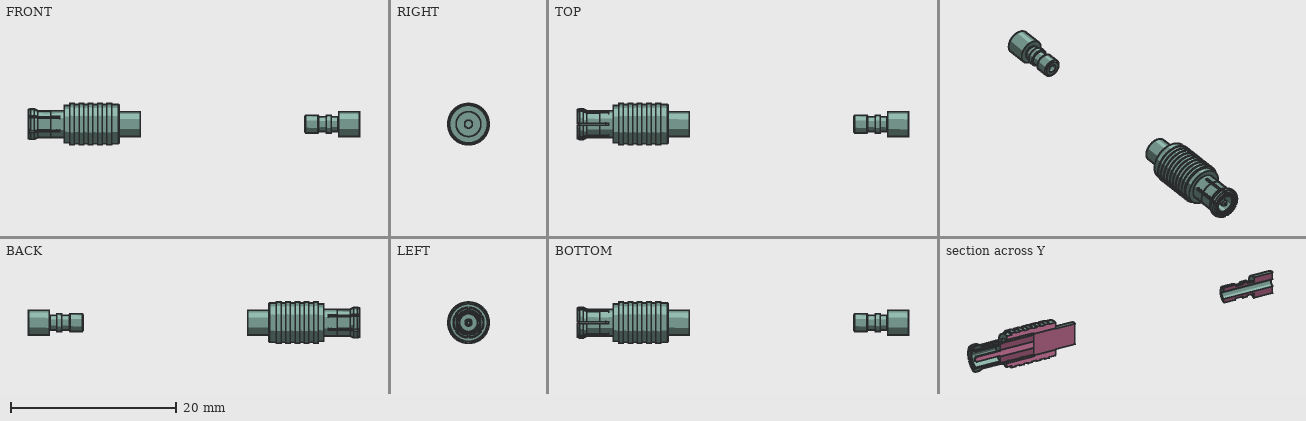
import cadquery as cq


housing_start = 4.35
housing_end = 11.0
housing_diameter = 4.8
housing_front_diameter = 4.55
housing_chamfer = 0.12
rib_diameter = 5.0
rib_count = 5
rib_width = 0.55
rib_pitch = 1.12
first_rib = 5.0
seat_split = 8.0

collet_shank_diameter = 3.3
collet_finger_diameter = 3.25
collet_lip_diameter = 3.73
collet_mouth_diameter = 3.53
lip_start = 0.3
lip_end = 0.7
lip_taper_end = 1.15
finger_end = 2.73
collet_bore_diameter = 2.73
collet_bore_mouth_diameter = 3.0
collet_bore_chamfer_length = 0.15
slot_count = 6
slot_width = 0.25
slot_length = 3.75

dielectric_start = 0.2
dielectric_front_diameter = 2.55
cup_diameter = 2.15
cup_floor = 3.45
pin_diameter = 0.75
pin_root_diameter = 0.85
pin_tip_diameter = 0.4
pin_start = 0.12
pin_tip_length = 0.25

tail_diameter = 3.0
tail_end = 13.55

plug_start = 33.5
plug_end = 40.1
plug_nose_diameter = 2.2
plug_neck_diameter = 1.8
plug_head_diameter = 3.0
plug_hole_diameter = 0.95
plug_nose_end = 35.05
plug_nose_chamfer = 0.2
plug_nose_chamfer_length = 0.12
collar_start = 36.1
collar_end = 36.7
relief_start = 37.45
relief_diameter = 1.7
plug_head_start = 37.57


def turned(stations):
    """Solid of revolution about X from (position, diameter) stations, closed along the axis."""
    outline = [(x, diameter / 2) for x, diameter in stations]
    start = (stations[0][0], 0)
    end = (stations[-1][0], 0)
    return cq.Workplane("XY").polyline([start, *outline, end]).close().revolve(360, (0, 0), (1, 0))


def rod(start, end, diameter):
    return turned([(start, diameter), (end, diameter)])


def make_housing():
    body = turned([
        (housing_start, housing_front_diameter),
        (first_rib, housing_front_diameter),
        (first_rib, housing_diameter),
        (housing_end - housing_chamfer, housing_diameter),
        (housing_end, housing_diameter - 2 * housing_chamfer),
    ])
    for i in range(rib_count):
        rib_start = first_rib + i * rib_pitch
        body = body.union(rod(rib_start, rib_start + rib_width, rib_diameter))
    body = body.cut(rod(housing_start, seat_split, collet_shank_diameter))
    return body.cut(rod(seat_split, housing_end, tail_diameter))


def make_collet():
    body = turned([
        (0, collet_mouth_diameter),
        (lip_start, collet_lip_diameter),
        (lip_end, collet_lip_diameter),
        (lip_taper_end, collet_finger_diameter),
        (finger_end, collet_finger_diameter),
        (finger_end, collet_shank_diameter),
        (seat_split, collet_shank_diameter),
    ])
    bore = turned([
        (0, collet_bore_mouth_diameter),
        (collet_bore_chamfer_length, collet_bore_diameter),
        (seat_split, collet_bore_diameter),
    ])
    body = body.cut(bore)
    for i in range(slot_count):
        slot = cq.Workplane("XY").box(
            slot_length, slot_width, collet_lip_diameter, centered=(False, True, False)
        )
        body = body.cut(slot.rotate((0, 0, 0), (1, 0, 0), i * 360 / slot_count))
    return body


def make_dielectric():
    body = turned([
        (dielectric_start, dielectric_front_diameter),
        (cup_floor, dielectric_front_diameter),
        (cup_floor, collet_bore_diameter),
        (seat_split, collet_bore_diameter),
    ])
    cup = rod(dielectric_start, cup_floor, cup_diameter)
    return body.cut(cup).cut(rod(cup_floor, seat_split, pin_root_diameter))


def make_pin():
    return turned([
        (pin_start, pin_tip_diameter),
        (pin_start + pin_tip_length, pin_diameter),
        (cup_floor, pin_diameter),
        (cup_floor, pin_root_diameter),
        (seat_split, pin_root_diameter),
    ])


def make_tail_sleeve():
    return rod(seat_split, tail_end, tail_diameter)


def make_cable_plug():
    body = turned([
        (plug_start, plug_nose_diameter - 2 * plug_nose_chamfer),
        (plug_start + plug_nose_chamfer_length, plug_nose_diameter),
        (plug_nose_end, plug_nose_diameter),
        (plug_nose_end + plug_nose_chamfer_length, plug_neck_diameter),
        (collar_start, plug_neck_diameter),
        (collar_start, plug_nose_diameter),
        (collar_end, plug_nose_diameter),
        (collar_end, plug_neck_diameter),
        (relief_start, plug_neck_diameter),
        (relief_start, relief_diameter),
        (plug_head_start, relief_diameter),
        (plug_head_start, plug_head_diameter),
        (plug_end, plug_head_diameter),
    ])
    return body.cut(rod(plug_start, plug_end, plug_hole_diameter))


housing = make_housing()
collet = make_collet()
dielectric = make_dielectric()
pin = make_pin()
tail_sleeve = make_tail_sleeve()
cable_plug = make_cable_plug()

result = cq.Compound.makeCompound([
    housing.val(),
    collet.val(),
    dielectric.val(),
    pin.val(),
    tail_sleeve.val(),
    cable_plug.val(),
])